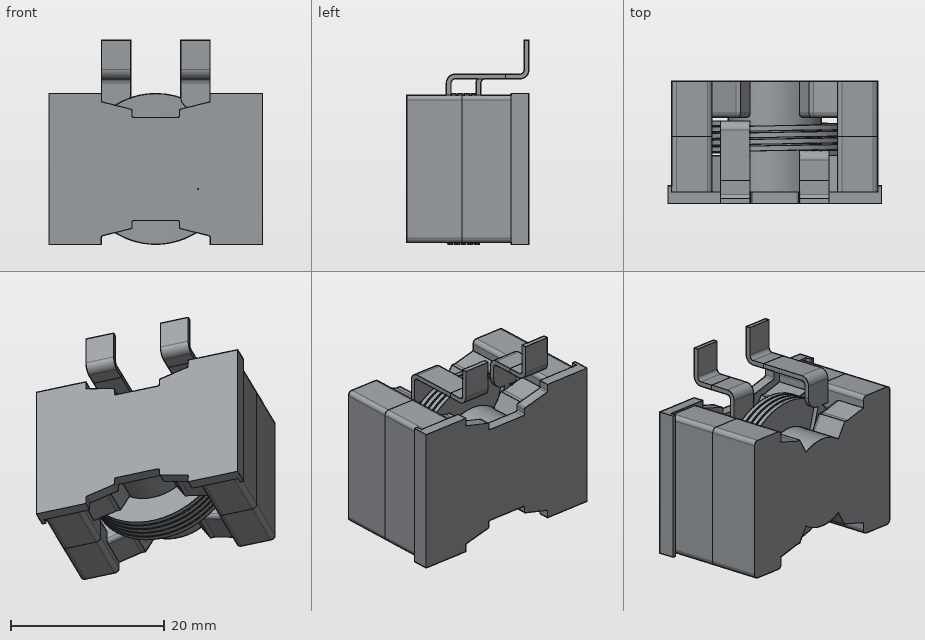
import cadquery as cq
import math


base_width = 27.9
base_height = 19.75
base_depth = 2.35
base_floor = 1.5
notch_half_width = 7.1
notch_outer_z = 8.75
notch_inner_half_width = 3.1
notch_inner_z = 7.75
notch_floor_z = 6.72
notch_fillet = 0.22

core_half_width = 13.45
core_height = 19.25
core_half_depth = 7.24
core_plate_thickness = 4.75
core_corner_fillet = 0.6
post_radius = 6.08
leg_inner_x = 8.17
leg_bore_radius = 10.32
plate_slope_top_z = 8.04
plate_flat_outer_x = 5.08
plate_flat_inner_x = 4.5
plate_flat_z = 7.23
rear_plate_fillet = 0.55
core_front_y = base_floor
core_split_y = core_front_y + core_half_depth
core_back_y = core_front_y + 2 * core_half_depth

wire_thickness = 0.65
coil_inner_radius = 6.1
coil_outer_radius = 9.85
coil_pitch = 0.86
coil_turns = 4.5
coil_center_y = 8.55
coil_length = coil_pitch * coil_turns
sector_inner_angle = 47.0
sector_outer_angle = 57.5

lead_inner_x = 3.25
lead_width = 3.85
lead_bottom_z = 7.8
lead_corner_fillet = 1.67
bend_inner_radius = 0.55
bend_outer_radius = bend_inner_radius + wire_thickness
strap_top_z = 12.4
strap_bottom_z = strap_top_z - wire_thickness
terminal_joint_y = 3.05
terminal_top_z = 16.82
lead_places = [(1, coil_center_y - coil_length / 2), (-1, coil_center_y + coil_length / 2)]


def xz_extrusion(outline, y_start, depth):
    """Extrude an outline drawn on XZ from y_start toward +Y."""
    return outline.extrude(-depth).translate((0, y_start, 0))


def xz_cylinder(radius, y_start, depth):
    return xz_extrusion(cq.Workplane("XZ").circle(radius), y_start, depth)


def xz_box(width, height, y_start, depth):
    return xz_extrusion(cq.Workplane("XZ").rect(width, height), y_start, depth)


def all_quadrants(points):
    """Mirror first-quadrant points, listed from +X toward +Z, into a closed four-way outline."""
    top = points + [(-x, z) for x, z in reversed(points)]
    return top + [(-x, -z) for x, z in top]


def make_base():
    points = [
        (base_width / 2, base_height / 2),
        (notch_half_width, base_height / 2),
        (notch_half_width, notch_outer_z),
        (notch_inner_half_width, notch_inner_z),
        (notch_inner_half_width, notch_floor_z),
    ]
    outline = cq.Workplane("XZ").polyline(all_quadrants(points)).close()
    plate = xz_extrusion(outline, 0, base_depth)
    for x, z in all_quadrants(points[2:]):
        corner = cq.selectors.NearestToPointSelector((x, base_depth / 2, z))
        plate = plate.edges("|Y").edges(corner).fillet(notch_fillet)
    seat = xz_box(2 * core_half_width, base_height, base_floor, base_depth - base_floor)
    return plate.cut(seat)


def make_core_plate(y_start):
    """The web between the legs, with radial flanks that run down into the center post."""
    flank_root = 0.5
    points = [
        (leg_inner_x, plate_slope_top_z),
        (plate_flat_outer_x, plate_flat_z),
        (plate_flat_inner_x, plate_flat_z),
        (flank_root * plate_flat_inner_x, flank_root * plate_flat_z),
    ]
    outline = cq.Workplane("XZ").polyline(all_quadrants(points)).close()
    return xz_extrusion(outline, y_start, core_plate_thickness)


def make_core_half(y_start, plate, window_y):
    """Legs, web and center post of one half; window_y is where its coil space starts."""
    leg_width = core_half_width - leg_inner_x
    leg = (
        cq.Workplane("XZ")
        .center(leg_inner_x + leg_width / 2, 0)
        .rect(leg_width, core_height)
    )
    right_leg = xz_extrusion(leg, y_start, core_half_depth).edges("|Y").fillet(core_corner_fillet)
    bore = xz_cylinder(leg_bore_radius, window_y, core_half_depth - core_plate_thickness)
    right_leg = right_leg.cut(bore)
    left_leg = right_leg.mirror("YZ")
    post = xz_cylinder(post_radius, y_start, core_half_depth)
    return plate.union(right_leg).union(left_leg).union(post)


def make_front_core():
    plate = make_core_plate(core_front_y)
    return make_core_half(core_front_y, plate, core_front_y + core_plate_thickness)


def make_rear_core():
    plate_y = core_back_y - core_plate_thickness
    plate = make_core_plate(plate_y)

    def is_rim(edge):
        slack = 0.03
        return slack < abs(edge.Center().x) < leg_inner_x - slack

    plate = plate.faces("<Y").edges().filter(is_rim).fillet(rear_plate_fillet)
    return make_core_half(core_split_y, plate, core_split_y)


def bend(strip, inner_y, inner_z, outer_y, outer_z):
    """Round the inner and outer corners of an L-shaped strip."""
    for corner_y, corner_z, radius in (
        (inner_y, inner_z, bend_inner_radius),
        (outer_y, outer_z, bend_outer_radius),
    ):
        middle = (lead_inner_x + lead_width / 2, corner_y, corner_z)
        corner = cq.selectors.NearestToPointSelector(middle)
        strip = strip.edges("|X").edges(corner).fillet(radius)
    return strip


def yz_strip(points):
    """Extrude a side outline given as (Y, Z) points across the lead width on the +X side."""
    return cq.Workplane("YZ").polyline(points).close().extrude(lead_width).translate((lead_inner_x, 0, 0))


def polar(radius, degrees):
    angle = math.radians(degrees)
    return (radius * math.cos(angle), radius * math.sin(angle))


def end_sector_outline():
    """Ring sector on XZ that rises from the +X axis into the bottom of the lead."""
    return (
        cq.Workplane("XZ")
        .moveTo(*polar(coil_inner_radius, 0))
        .lineTo(*polar(coil_outer_radius, 0))
        .threePointArc(
            polar(coil_outer_radius, sector_outer_angle / 2),
            polar(coil_outer_radius, sector_outer_angle),
        )
        .lineTo(*polar(coil_inner_radius, sector_inner_angle))
        .threePointArc(
            polar(coil_inner_radius, sector_inner_angle / 2),
            polar(coil_inner_radius, 0),
        )
        .close()
    )


def make_lead(side, lead_y):
    """Strap from a terminal, bent down behind the joint to the end of the winding at lead_y."""
    front_y = lead_y - wire_thickness / 2
    back_y = lead_y + wire_thickness / 2
    strip = yz_strip([
        (terminal_joint_y, strap_bottom_z),
        (front_y, strap_bottom_z),
        (front_y, lead_bottom_z),
        (back_y, lead_bottom_z),
        (back_y, strap_top_z),
        (terminal_joint_y, strap_top_z),
    ])
    strip = bend(strip, front_y, strap_bottom_z, back_y, strap_top_z)
    inner_corner = cq.selectors.NearestToPointSelector((lead_inner_x, lead_y, lead_bottom_z))
    strip = strip.edges("|Y").edges(inner_corner).fillet(lead_corner_fillet)

    sector = xz_extrusion(end_sector_outline(), front_y, wire_thickness)
    lead = strip.union(sector)
    return lead if side > 0 else lead.mirror("YZ")


def make_coil():
    """Winding that turns toward the front as it goes from -X over the bottom to +X, with its leads."""
    mean_radius = (coil_inner_radius + coil_outer_radius) / 2
    path = cq.Wire.makeHelix(coil_pitch, coil_length, mean_radius)
    winding = (
        cq.Workplane("XZ")
        .center(mean_radius, 0)
        .rect(coil_outer_radius - coil_inner_radius, wire_thickness)
        .sweep(path, isFrenet=True)
        .translate((0, 0, -coil_length / 2))
        .rotate((0, 0, 0), (0, 0, 1), 180)
        .rotate((0, 0, 0), (1, 0, 0), 90)
        .translate((0, coil_center_y, 0))
    )
    for side, lead_y in lead_places:
        winding = winding.union(make_lead(side, lead_y))
    return winding


def make_terminal(side):
    strip = yz_strip([
        (terminal_joint_y, strap_bottom_z),
        (0, strap_bottom_z),
        (0, terminal_top_z),
        (wire_thickness, terminal_top_z),
        (wire_thickness, strap_top_z),
        (terminal_joint_y, strap_top_z),
    ])
    strip = bend(strip, wire_thickness, strap_top_z, 0, strap_bottom_z)
    return strip if side > 0 else strip.mirror("YZ")


base = make_base()
front_core = make_front_core()
rear_core = make_rear_core()
coil = make_coil()
terminals = [make_terminal(side) for side, _ in lead_places]

result = cq.Compound.makeCompound(
    [body.solids().val() for body in (base, front_core, rear_core, coil, *terminals)]
)